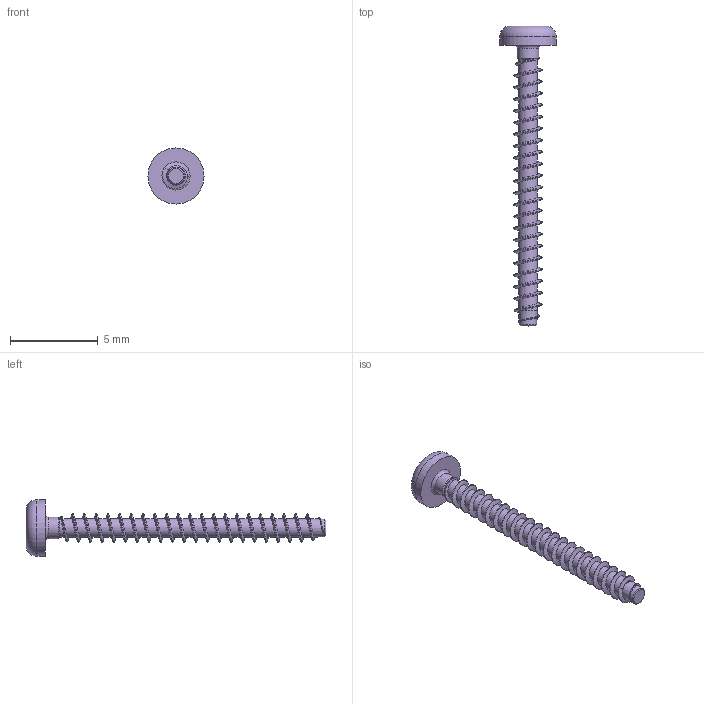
import math

import cadquery as cq


HEAD_DIAMETER = 3.2
HEAD_HEIGHT = 1.1
HEAD_RIM_HEIGHT = 0.48
HEAD_FLAT_DIAMETER = 2.12

LENGTH_UNDER_HEAD = 16.0
NECK_DIAMETER = 1.23
NECK_LENGTH = 0.75
NECK_FILLET = 0.17
CORE_DIAMETER = 1.08
CORE_STEP_LENGTH = 0.06
TIP_TAPER_LENGTH = 0.9
TIP_DIAMETER = 1.0
TIP_CHAMFER = 0.06

THREAD_DIAMETER = 1.6
THREAD_PITCH = 0.669
FIRST_CREST_DEPTH = 1.395
CREST_WIDTH = 0.04
FLANK_ANGLE = 15.0
ROOT_DIAMETER = 0.8
RUN_IN_TURNS = 1.4
RUN_IN_SLOPE = 0.16
FULL_TURNS = 20.4
RUN_OUT_TURNS = 1.25
RUN_OUT_SLOPE = 0.25
POINTS_PER_TURN = 16


def make_body():
    """Head, neck, core and tip turned as one profile about the Y axis."""
    head_radius = HEAD_DIAMETER / 2
    flat_radius = HEAD_FLAT_DIAMETER / 2
    neck_radius = NECK_DIAMETER / 2
    core_radius = CORE_DIAMETER / 2
    tip_radius = TIP_DIAMETER / 2

    arc_diagonal = math.cos(math.radians(45))
    dome_width = head_radius - flat_radius
    dome_height = HEAD_HEIGHT - HEAD_RIM_HEIGHT
    dome_middle = (
        flat_radius + dome_width * arc_diagonal,
        HEAD_RIM_HEIGHT + dome_height * arc_diagonal,
    )
    fillet_middle = NECK_FILLET * (1 - arc_diagonal)

    profile = (
        cq.Workplane("XY")
        .moveTo(0, HEAD_HEIGHT)
        .lineTo(flat_radius, HEAD_HEIGHT)
        .threePointArc(dome_middle, (head_radius, HEAD_RIM_HEIGHT))
        .lineTo(head_radius, 0)
        .lineTo(neck_radius + NECK_FILLET, 0)
        .threePointArc(
            (neck_radius + fillet_middle, -fillet_middle),
            (neck_radius, -NECK_FILLET),
        )
        .lineTo(neck_radius, -NECK_LENGTH)
        .lineTo(core_radius, -NECK_LENGTH - CORE_STEP_LENGTH)
        .lineTo(core_radius, -LENGTH_UNDER_HEAD + TIP_TAPER_LENGTH)
        .lineTo(tip_radius, -LENGTH_UNDER_HEAD + TIP_CHAMFER)
        .lineTo(tip_radius - TIP_CHAMFER, -LENGTH_UNDER_HEAD)
        .lineTo(0, -LENGTH_UNDER_HEAD)
        .close()
    )
    return profile.revolve(360, (0, 0, 0), (0, 1, 0))


def crest_radius(turn):
    """Crest radius, fading into the core at both ends of the thread."""
    run_in_loss = RUN_IN_SLOPE * max(0, -turn)
    run_out_loss = RUN_OUT_SLOPE * max(0, turn - FULL_TURNS)
    return THREAD_DIAMETER / 2 - run_in_loss - run_out_loss


def thread_point(turn, radius, axial_offset):
    """Point on a right-handed helix that starts on +X and advances towards -Y."""
    angle = 2 * math.pi * turn
    depth = FIRST_CREST_DEPTH + THREAD_PITCH * turn
    return cq.Vector(radius * math.cos(angle), axial_offset - depth, radius * math.sin(angle))


def crest_point(turn, side):
    """Edge of the narrow crest land; side is +1 towards the head, -1 towards the tip."""
    return thread_point(turn, crest_radius(turn), side * CREST_WIDTH / 2)


def root_point(turn, side):
    """Foot of a flank, buried inside the core."""
    root_radius = ROOT_DIAMETER / 2
    flank_height = crest_radius(turn) - root_radius
    flank_spread = flank_height * math.tan(math.radians(FLANK_ANGLE))
    return thread_point(turn, root_radius, side * (CREST_WIDTH / 2 + flank_spread))


def make_thread():
    """Solid ridge bounded by ruled faces between four helical edges."""
    full_turn_bounds = [*range(math.ceil(FULL_TURNS)), FULL_TURNS]
    bounds = [-RUN_IN_TURNS, *full_turn_bounds, FULL_TURNS + RUN_OUT_TURNS]
    corners = ((crest_point, 1), (crest_point, -1), (root_point, -1), (root_point, 1))
    faces = []
    for first_turn, last_turn in zip(bounds, bounds[1:]):
        steps = math.ceil((last_turn - first_turn) * POINTS_PER_TURN)
        step = (last_turn - first_turn) / steps
        turns = [first_turn + step * index for index in range(steps + 1)]
        edges = [cq.Edge.makeSpline([point(turn, side) for turn in turns]) for point, side in corners]
        for edge, next_edge in zip(edges, edges[1:] + edges[:1]):
            faces.append(cq.Face.makeRuledSurface(edge, next_edge))

    for end_turn in (bounds[0], bounds[-1]):
        outline = [point(end_turn, side) for point, side in corners]
        faces.append(cq.Face.makeFromWires(cq.Wire.makePolygon(outline, close=True)))
    return cq.Solid.makeSolid(cq.Shell.makeShell(faces))


screw = make_body().union(cq.Workplane(make_thread()))
result = cq.Workplane(screw.solids().val())